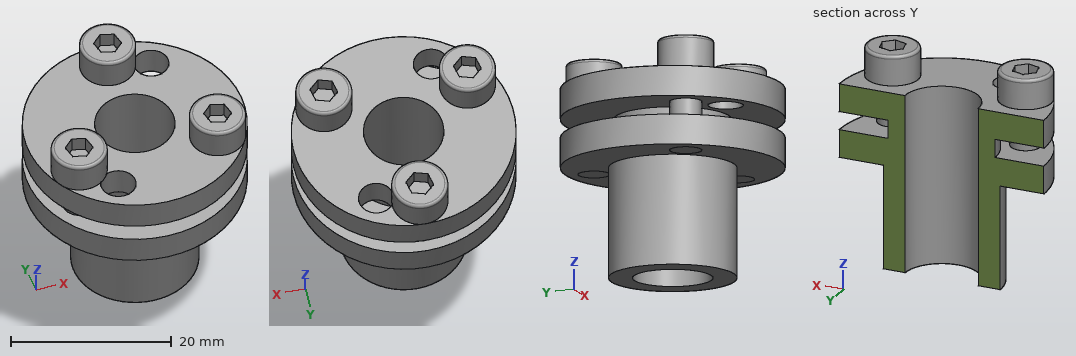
import cadquery as cq
import math

flange_diameter = 28.0
flange_thickness = 3.8
flange_gap = 2.38
sleeve_diameter = 16.02
sleeve_length = 14.0
neck_diameter = 14.67
bore_diameter = 10.0

bolt_circle_radius = 10.5
screw_angles = (90.0, 210.0, 330.0)
shank_diameter = 4.0
head_diameter = 7.0
head_height = 4.0
head_edge_radius = 0.4
socket_across_flats = 3.0
socket_depth = 2.0
socket_turn = 13.3

jack_hole_diameter = 4.4
jack_hole_angles = (60.0, 240.0)

lower_flange_bottom = sleeve_length
lower_flange_top = lower_flange_bottom + flange_thickness
upper_flange_bottom = lower_flange_top + flange_gap
upper_flange_top = upper_flange_bottom + flange_thickness
head_top = upper_flange_top + head_height


def cylinder(diameter, bottom, top, center=(0.0, 0.0)):
    """Upright cylinder between two levels."""
    return cq.Workplane("XY", origin=(*center, bottom)).circle(diameter / 2).extrude(top - bottom)


def bolt_circle_point(angle):
    """XY position on the bolt circle at an angle in degrees from +X."""
    turn = math.radians(angle)
    return (bolt_circle_radius * math.cos(turn), bolt_circle_radius * math.sin(turn))


def make_hub():
    sleeve = cylinder(sleeve_diameter, 0.0, lower_flange_bottom)
    lower_flange = cylinder(flange_diameter, lower_flange_bottom, lower_flange_top)
    neck = cylinder(neck_diameter, lower_flange_top, upper_flange_bottom)
    upper_flange = cylinder(flange_diameter, upper_flange_bottom, upper_flange_top)
    hub = sleeve.union(lower_flange).union(neck).union(upper_flange)

    hub = hub.cut(cylinder(bore_diameter, 0.0, upper_flange_top))
    for angle in screw_angles:
        center = bolt_circle_point(angle)
        hub = hub.cut(cylinder(shank_diameter, lower_flange_bottom, upper_flange_top, center))
    for angle in jack_hole_angles:
        center = bolt_circle_point(angle)
        hub = hub.cut(cylinder(jack_hole_diameter, upper_flange_bottom, upper_flange_top, center))
    return hub


def make_screw(center):
    """Socket head cap screw standing at an XY position."""
    head = cylinder(head_diameter, upper_flange_top, head_top, center)
    head = head.faces(">Z").edges().fillet(head_edge_radius)
    socket_across_corners = socket_across_flats / math.cos(math.radians(30.0))
    socket = (
        cq.Workplane("XY", origin=(*center, head_top))
        .transformed(rotate=(0.0, 0.0, 90.0 + socket_turn))
        .polygon(6, socket_across_corners)
        .extrude(-socket_depth)
    )
    shank = cylinder(shank_diameter, lower_flange_bottom, upper_flange_top, center)
    return head.cut(socket).union(shank)


hub = make_hub()
screws = [make_screw(bolt_circle_point(angle)) for angle in screw_angles]

result = cq.Compound.makeCompound([hub.val(), *[screw.val() for screw in screws]])